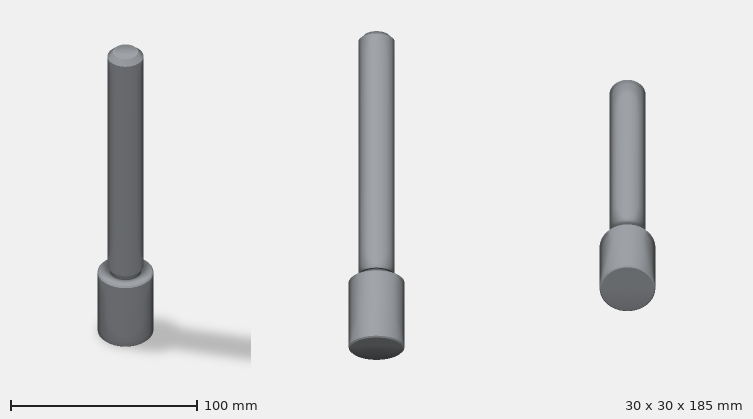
import cadquery as cq

total_length = 185.0

head_diameter = 30.0
head_height = 40.0
head_chamfer = 0.7

neck_diameter = 17.0
neck_height = 3.5

shank_diameter = 19.5
tip_flat_diameter = 13.5
tip_height = 3.0


def cylinder(diameter, base_height, height):
    """Cylinder on the Z axis starting at base_height."""
    return cq.Workplane("XY").workplane(offset=base_height).circle(diameter / 2).extrude(height)


head = cylinder(head_diameter, 0, head_height).edges().chamfer(head_chamfer)

neck = cylinder(neck_diameter, head_height, neck_height)

shank_base = head_height + neck_height
tip_inset = (shank_diameter - tip_flat_diameter) / 2
shank = cylinder(shank_diameter, shank_base, total_length - shank_base)
shank = shank.faces(">Z").chamfer(tip_height, tip_inset)

result = head.union(neck).union(shank)